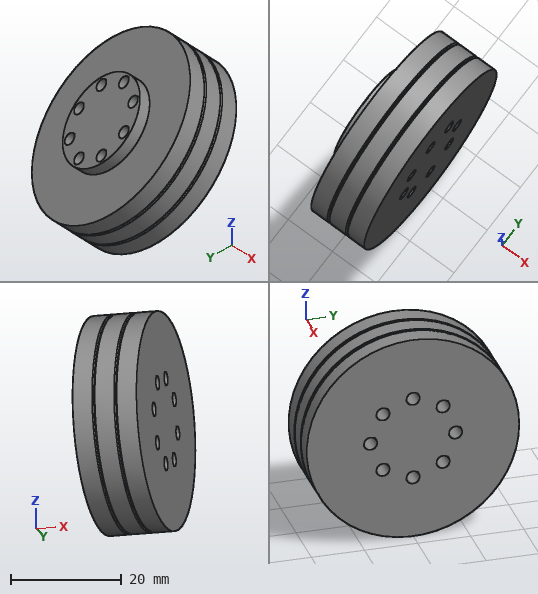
import cadquery as cq

disc_diameter = 40.0
disc_thickness = 12.0
hub_diameter = 19.5
hub_height = 2.5

groove_count = 2
groove_width = 0.5
groove_depth = groove_width / 2
groove_spacing = 4.1

hole_count = 8
hole_diameter = 2.5
hole_circle_diameter = 16.0

total_length = hub_height + disc_thickness
disc_middle = hub_height + disc_thickness / 2


def make_body():
    """Disc with a smaller round hub on its -X face."""
    hub = cq.Workplane("YZ").circle(hub_diameter / 2).extrude(total_length)
    disc = (
        cq.Workplane("YZ", origin=(hub_height, 0, 0))
        .circle(disc_diameter / 2)
        .extrude(disc_thickness)
    )
    return disc.union(hub)


def make_groove(center_x):
    """Ring that cuts a V-shaped groove into the rim."""
    rim_radius = disc_diameter / 2
    return (
        cq.Workplane("XY")
        .moveTo(center_x - groove_width / 2, rim_radius)
        .lineTo(center_x, rim_radius - groove_depth)
        .lineTo(center_x + groove_width / 2, rim_radius)
        .close()
        .revolve(360, (0, 0, 0), (1, 0, 0))
    )


def make_holes():
    """Pins for the ring of through holes."""
    return (
        cq.Workplane("YZ")
        .polarArray(hole_circle_diameter / 2, 0, 360, hole_count)
        .circle(hole_diameter / 2)
        .extrude(total_length)
    )


result = make_body().cut(make_holes())
for index in range(groove_count):
    offset = (index - (groove_count - 1) / 2) * groove_spacing
    result = result.cut(make_groove(disc_middle + offset))